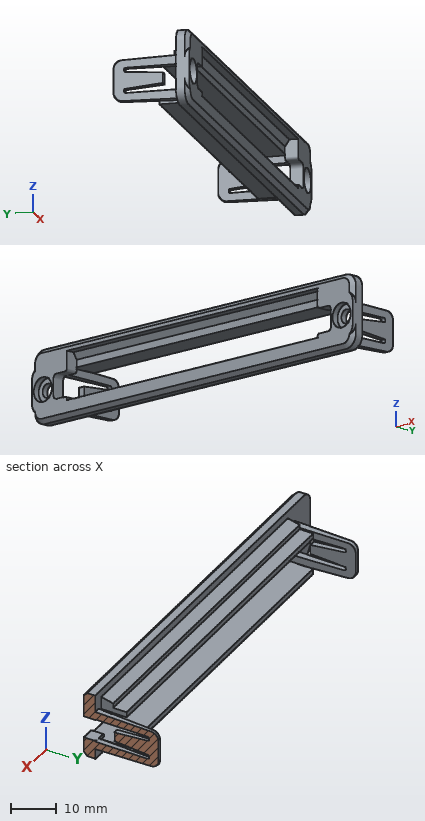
import cadquery as cq

PLATE_LENGTH = 99.87
PLATE_HEIGHT = 16.75
PLATE_THICKNESS = 3.0
CORNER_RADIUS = 3.0
FRONT_CHAMFER = 1.0

AXIS_Z = -0.875
SCREW_X = 46.5
SCREW_DIAMETER = 3.2
COUNTERBORE_DIAMETER = 5.6
COUNTERBORE_DEPTH = 1.5
BOSS_FLAT_HEIGHT = 5.0
BOSS_HEIGHT = BOSS_FLAT_HEIGHT + 2 * CORNER_RADIUS

WINDOW_HALF_LENGTH = 39.0
WINDOW_TOP = 6.5
WINDOW_BOTTOM = -4.6
POCKET_END_X = 43.2
POCKET_HEIGHT = 5.7
POCKET_CORNER_RADIUS = 1.0
POCKET_MOUTH_RADIUS = 0.6

RAIL_HALF_LENGTH = 40.2
RAIL_BACK_Y = 9.4
RAIL_STEP_Y = 6.0
RAIL_STEP_TOP = 5.8
RAIL_TOP = 4.65
RAIL_BOTTOM = 3.3
RAIL_NOSE_TOP = 5.0
RAIL_NOSE_Y = PLATE_THICKNESS
RAIL_NOSE_SLOPE_LENGTH = 1.0
SHELF_BOTTOM = -6.0

CLIP_TIP_Y = 19.0
CLIP_TIP_HEIGHT = 9.15
CLIP_ROOT_HEIGHT = 9.9
CLIP_TIP_RADIUS = 2.0
CLIP_TIP_THICKNESS = 1.1
CLIP_ROOT_THICKNESS = 1.85
SLOT_END_Y = 16.6
SLOT_END_RADIUS = 0.5
SLOT_END_WIDTH = 0.9
TONGUE_END_Y = 7.8
TONGUE_END_HEIGHT = 2.4


def front_plane(y):
    """Sketch plane with local axes X and Z; it extrudes towards -Y."""
    return cq.Workplane("XZ", origin=(0, y, 0))


def side_profile(points, x_start, x_end):
    """Prism between two X positions from (y, z) points."""
    plane = cq.Workplane("YZ", origin=(x_start, 0, 0))
    return plane.polyline(points).close().extrude(x_end - x_start)


def make_plate():
    plate = (
        front_plane(PLATE_THICKNESS)
        .rect(PLATE_LENGTH, PLATE_HEIGHT)
        .extrude(PLATE_THICKNESS)
        .edges("|Y")
        .fillet(CORNER_RADIUS)
        .faces("<Y")
        .chamfer(FRONT_CHAMFER)
    )
    pad = (
        front_plane(PLATE_THICKNESS)
        .center(0, AXIS_Z)
        .rect(PLATE_LENGTH, BOSS_HEIGHT)
        .extrude(PLATE_THICKNESS)
        .edges("|Y")
        .fillet(CORNER_RADIUS)
    )
    return plate.union(pad)


def make_window():
    window_height = WINDOW_TOP - WINDOW_BOTTOM
    window = (
        front_plane(PLATE_THICKNESS)
        .center(0, (WINDOW_TOP + WINDOW_BOTTOM) / 2)
        .rect(2 * WINDOW_HALF_LENGTH, window_height)
        .extrude(PLATE_THICKNESS)
    )
    pockets = (
        front_plane(PLATE_THICKNESS)
        .center(0, AXIS_Z)
        .rect(2 * POCKET_END_X, POCKET_HEIGHT)
        .extrude(PLATE_THICKNESS)
        .edges("|Y")
        .fillet(POCKET_CORNER_RADIUS)
    )
    corner_reach = WINDOW_HALF_LENGTH + POCKET_MOUTH_RADIUS
    mouth_corners = cq.selectors.BoxSelector(
        (-corner_reach, 0, WINDOW_BOTTOM + POCKET_MOUTH_RADIUS),
        (corner_reach, PLATE_THICKNESS, WINDOW_TOP - POCKET_MOUTH_RADIUS),
    )
    return window.union(pockets).edges("|Y").edges(mouth_corners).fillet(POCKET_MOUTH_RADIUS)


def make_rail():
    return side_profile(
        [
            (RAIL_NOSE_Y - RAIL_NOSE_SLOPE_LENGTH, WINDOW_TOP),
            (PLATE_THICKNESS, WINDOW_TOP),
            (RAIL_STEP_Y, RAIL_STEP_TOP),
            (RAIL_STEP_Y, RAIL_TOP),
            (RAIL_BACK_Y, RAIL_TOP),
            (RAIL_BACK_Y, RAIL_BOTTOM),
            (RAIL_NOSE_Y, RAIL_BOTTOM),
            (RAIL_NOSE_Y, RAIL_NOSE_TOP),
        ],
        -RAIL_HALF_LENGTH,
        RAIL_HALF_LENGTH,
    )


def make_shelf():
    return side_profile(
        [
            (PLATE_THICKNESS, WINDOW_BOTTOM),
            (RAIL_BACK_Y, WINDOW_BOTTOM),
            (RAIL_BACK_Y, SHELF_BOTTOM),
            (PLATE_THICKNESS, SHELF_BOTTOM),
        ],
        -RAIL_HALF_LENGTH,
        RAIL_HALF_LENGTH,
    )


def mirrored_profile(upper_points, inner_x):
    """Clip-thick prism from (y, half height) points, mirrored about the screw axis."""
    upper = [(y, AXIS_Z + half_height) for y, half_height in upper_points]
    lower = [(y, AXIS_Z - half_height) for y, half_height in reversed(upper_points)]
    return side_profile(upper + lower, inner_x, POCKET_END_X)


def make_clip():
    """Clip on the +X side: a tapered strip with a U-shaped cut around its tongue."""
    inner_x = POCKET_END_X - CLIP_ROOT_THICKNESS
    strip = mirrored_profile(
        [
            (PLATE_THICKNESS, CLIP_ROOT_HEIGHT / 2),
            (CLIP_TIP_Y, CLIP_TIP_HEIGHT / 2),
        ],
        inner_x,
    )
    strip = strip.edges("|X and >Y").fillet(CLIP_TIP_RADIUS)

    slot_half = POCKET_HEIGHT / 2
    slot_centre_y = SLOT_END_Y - SLOT_END_RADIUS
    slot_centre_offset = slot_half - SLOT_END_RADIUS
    slot = mirrored_profile(
        [
            (PLATE_THICKNESS, slot_half),
            (slot_centre_y, slot_half),
        ],
        inner_x,
    )
    tongue = mirrored_profile(
        [
            (TONGUE_END_Y, TONGUE_END_HEIGHT / 2),
            (SLOT_END_Y, slot_half - SLOT_END_WIDTH),
        ],
        inner_x,
    )
    slot_ends = (
        cq.Workplane("YZ", origin=(inner_x, 0, AXIS_Z))
        .pushPoints([(slot_centre_y, -slot_centre_offset), (slot_centre_y, slot_centre_offset)])
        .circle(SLOT_END_RADIUS)
        .extrude(CLIP_ROOT_THICKNESS)
    )

    wedge = (
        cq.Workplane("XY", origin=(0, 0, -PLATE_HEIGHT / 2))
        .moveTo(POCKET_END_X, PLATE_THICKNESS)
        .lineTo(POCKET_END_X, CLIP_TIP_Y)
        .lineTo(POCKET_END_X - CLIP_TIP_THICKNESS, CLIP_TIP_Y)
        .lineTo(inner_x, PLATE_THICKNESS)
        .close()
        .extrude(PLATE_HEIGHT)
    )
    return strip.cut(slot.union(slot_ends).cut(tongue)).intersect(wedge)


def make_screw_holes():
    screw_points = [(-SCREW_X, AXIS_Z), (SCREW_X, AXIS_Z)]
    through = (
        front_plane(PLATE_THICKNESS)
        .pushPoints(screw_points)
        .circle(SCREW_DIAMETER / 2)
        .extrude(PLATE_THICKNESS)
    )
    counterbores = (
        front_plane(COUNTERBORE_DEPTH)
        .pushPoints(screw_points)
        .circle(COUNTERBORE_DIAMETER / 2)
        .extrude(COUNTERBORE_DEPTH)
    )
    return through.union(counterbores)


right_clip = make_clip()
left_clip = right_clip.mirror("YZ")

result = (
    make_plate()
    .cut(make_window())
    .cut(make_screw_holes())
    .union(make_rail())
    .union(make_shelf())
    .union(right_clip)
    .union(left_clip)
)